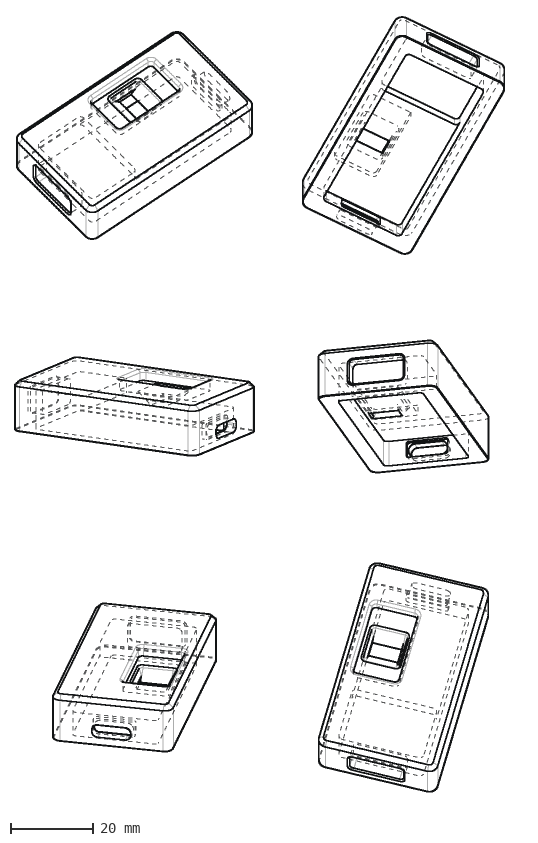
import cadquery as cq

WIDTH = 29.9
LENGTH = 51.65
HEIGHT = 12.4
CORNER_RADIUS = 2.1
TOP_CHAMFER = 1.2
BOTTOM_CHAMFER = 0.15

WALL = 3.75
SIDE_WALL = 4.3
CEILING_Z = 6.4
BAY_CEILING_Z = 9.8
BAY_LENGTH = 13.95
CAVITY_RADIUS = 1.05

POCKET_X = -5.9
POCKET_Y = 5.0
POCKET_WIDTH = 11.5
POCKET_LENGTH = 19.5
POCKET_DEPTH = 2.85
POCKET_RADIUS = 1.05
POCKET_EDGE_RADIUS = 0.7

HOPPER_WIDTH = 9.0
HOPPER_LENGTH = 9.3
HOPPER_LIP = 0.45
THROAT_WIDTH = 7.5
THROAT_LENGTH = 3.55
HOPPER_RADIUS = (HOPPER_WIDTH - THROAT_WIDTH) / 2
FLARE_DEPTH = 1.55
FLARE_END_RADIUS = 0.025

WINDOW_WIDTH = 13.6
WINDOW_BOTTOM_Z = 2.6
WINDOW_TOP_Z = 9.05
WINDOW_RADIUS = 1.05
WINDOW_LIP = 0.4
WINDOW_TOP_LIP = 0.15

PORT_WIDTH = 9.7
PORT_TOP_Z = 5.5
PORT_BOTTOM_Z = 2.15
PORT_RADIUS = 1.45
RECESS_MARGIN = 0.4
RECESS_RADIUS = 0.7
RECESS_DEPTH = 1.05

FRONT_Y = -LENGTH / 2
REAR_Y = LENGTH / 2
POCKET_FLOOR_Z = HEIGHT - POCKET_DEPTH


def rounded_box(width, length, bottom, top, radius, x=0.0, y=0.0):
    """Upright block with rounded vertical edges, centred on (x, y)."""
    block = cq.Workplane("XY", origin=(x, y, bottom)).rect(width, length).extrude(top - bottom)
    return block.edges("|Z").fillet(radius)


def wall_opening(width, bottom, top, radius, start_y, end_y):
    """Opening along Y with rounded corners, centred on X = 0."""
    center_z = (bottom + top) / 2
    plane = cq.Workplane("XZ", origin=(0, start_y, center_z))
    return plane.rect(width, top - bottom).extrude(start_y - end_y).edges("|Y").fillet(radius)


def make_body():
    body = rounded_box(WIDTH, LENGTH, 0, HEIGHT, CORNER_RADIUS)
    return body.faces(">Z").chamfer(TOP_CHAMFER).faces("<Z").chamfer(BOTTOM_CHAMFER)


def make_cavity():
    width = WIDTH - 2 * SIDE_WALL
    length = LENGTH - 2 * WALL
    bay_y = FRONT_Y + WALL + BAY_LENGTH / 2
    main = rounded_box(width, length, 0, CEILING_Z, CAVITY_RADIUS)
    bay = rounded_box(width, BAY_LENGTH, 0, BAY_CEILING_Z, CAVITY_RADIUS, y=bay_y)
    return main.union(bay)


def add_pocket(body):
    """Rounded pocket whose upper rim is rolled over into the top face."""
    pocket = rounded_box(
        POCKET_WIDTH, POCKET_LENGTH, POCKET_FLOOR_Z, HEIGHT, POCKET_RADIUS, POCKET_X, POCKET_Y
    )
    reach_x = POCKET_WIDTH / 2 + POCKET_EDGE_RADIUS
    reach_y = POCKET_LENGTH / 2 + POCKET_EDGE_RADIUS
    rim = cq.selectors.BoxSelector(
        (POCKET_X - reach_x, POCKET_Y - reach_y, HEIGHT - POCKET_EDGE_RADIUS),
        (POCKET_X + reach_x, POCKET_Y + reach_y, HEIGHT + POCKET_EDGE_RADIUS),
    )
    return body.cut(pocket).edges(rim).fillet(POCKET_EDGE_RADIUS)


def rounded_outline(width, height, radius):
    """Rounded rectangle centred on the sketch origin."""
    return cq.Sketch().rect(width, height).vertices().fillet(radius)


def loft_down(top_z, top_size, bottom_z, bottom_size):
    """Straight-sided hopper section between two outlines given as (width, length, radius)."""
    rise = cq.Location(cq.Vector(0, 0, top_z - bottom_z))
    top = rounded_outline(*top_size).moved(rise)
    bottom = rounded_outline(*bottom_size)
    plane = cq.Workplane("XY", origin=(POCKET_X, POCKET_Y, bottom_z))
    return plane.placeSketch(bottom, top).loft(ruled=True)


def make_hopper():
    """Chamfered mouth, a flare narrowing along X and Y, then ramps along Y down to the throat."""
    mouth_z = POCKET_FLOOR_Z - HOPPER_LIP
    flare_z = mouth_z - FLARE_DEPTH
    ramp_run = (HOPPER_LENGTH - THROAT_LENGTH) / (mouth_z - CEILING_Z)
    flare_length = HOPPER_LENGTH - FLARE_DEPTH * ramp_run

    rim = (
        HOPPER_WIDTH + 2 * HOPPER_LIP,
        HOPPER_LENGTH + 2 * HOPPER_LIP,
        HOPPER_RADIUS + HOPPER_LIP,
    )
    mouth = (HOPPER_WIDTH, HOPPER_LENGTH, HOPPER_RADIUS)
    flare_end = (THROAT_WIDTH, flare_length, FLARE_END_RADIUS)
    lip = loft_down(POCKET_FLOOR_Z, rim, mouth_z, mouth)
    flare = loft_down(mouth_z, mouth, flare_z, flare_end)
    ramps = (
        cq.Workplane("YZ", origin=(POCKET_X - THROAT_WIDTH / 2, POCKET_Y, 0))
        .moveTo(-THROAT_LENGTH / 2, CEILING_Z)
        .lineTo(THROAT_LENGTH / 2, CEILING_Z)
        .lineTo(flare_length / 2, flare_z)
        .lineTo(-flare_length / 2, flare_z)
        .close()
        .extrude(THROAT_WIDTH)
    )
    return lip.union(flare).union(ramps)


def make_window():
    """Opening through the front wall with a beveled outer edge, slimmer at the top."""
    height = WINDOW_TOP_Z - WINDOW_BOTTOM_Z
    center_z = (WINDOW_TOP_Z + WINDOW_BOTTOM_Z) / 2
    opening = wall_opening(
        WINDOW_WIDTH, WINDOW_BOTTOM_Z, WINDOW_TOP_Z, WINDOW_RADIUS, FRONT_Y, FRONT_Y + WALL
    )
    mouth_offset = cq.Location(cq.Vector(0, (WINDOW_TOP_LIP - WINDOW_LIP) / 2, WINDOW_LIP))
    mouth = rounded_outline(
        WINDOW_WIDTH + 2 * WINDOW_LIP,
        height + WINDOW_LIP + WINDOW_TOP_LIP,
        WINDOW_RADIUS + WINDOW_LIP,
    ).moved(mouth_offset)
    throat = rounded_outline(WINDOW_WIDTH, height, WINDOW_RADIUS)
    plane = cq.Workplane("XZ", origin=(0, FRONT_Y + WINDOW_LIP, center_z))
    bevel = plane.placeSketch(throat, mouth).loft(ruled=True)
    return opening.union(bevel)


def make_port():
    """Connector opening through the rear wall with a wider recess on the cavity side."""
    inner_y = REAR_Y - WALL
    port = wall_opening(PORT_WIDTH, PORT_BOTTOM_Z, PORT_TOP_Z, PORT_RADIUS, inner_y, REAR_Y)
    recess = wall_opening(
        PORT_WIDTH + 2 * RECESS_MARGIN,
        PORT_BOTTOM_Z - RECESS_MARGIN,
        PORT_TOP_Z + RECESS_MARGIN,
        RECESS_RADIUS,
        inner_y,
        inner_y + RECESS_DEPTH,
    )
    return port.union(recess)


body = add_pocket(make_body())
result = body.cut(make_cavity()).cut(make_hopper()).cut(make_window()).cut(make_port())